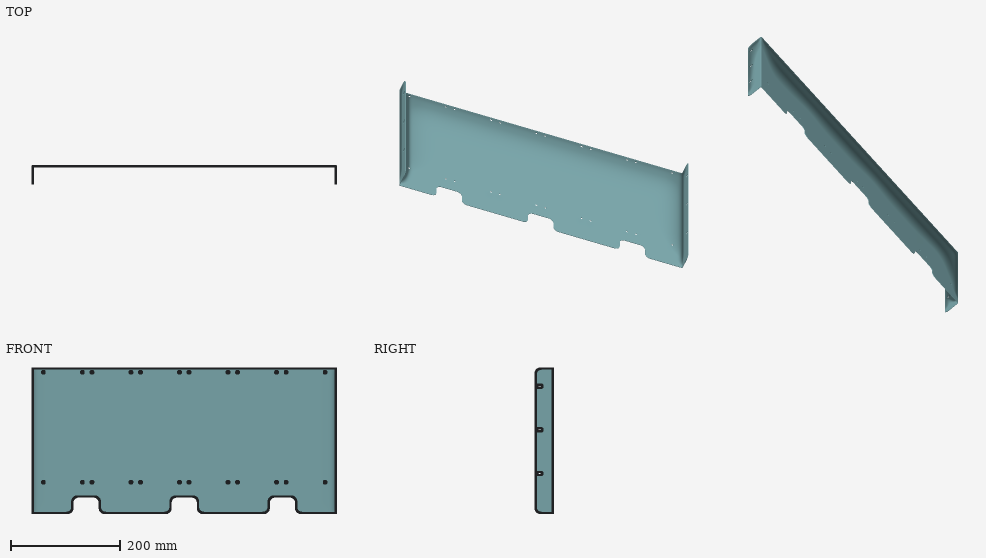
import cadquery as cq

length = 557.0
depth = 32.0
height = 265.0
thickness = 1.0
bend_inner_radius = 0.75
bend_outer_radius = bend_inner_radius + thickness
flange_corner_radius = 10.0

pair_count = 6
pair_pitch = 89.0
pair_hole_spacing = 71.5
hole_diameter = 4.0
lower_row_z = 56.5
upper_row_z = height - 7.0

notch_count = 3
notch_pitch = 180.0
notch_width = 50.0
notch_height = 30.0
notch_radius = 10.0

slot_count = 3
slot_pitch = 80.0
slot_length = 10.0
slot_width = 5.0
top_slot_z = height - 32.5
slot_from_front_edge = 7.5

front_y = -depth


def centred_positions(count, pitch):
    """Evenly spaced positions, centred on zero."""
    return [(index - (count - 1) / 2) * pitch for index in range(count)]


def bent_sheet():
    """Back panel with its outer face at Y = 0 and a flange at each end."""
    outer = (
        cq.Workplane("XY")
        .box(length, depth, height, centered=(True, False, False))
        .translate((0, front_y, 0))
        .edges("|Z and >Y")
        .fillet(bend_outer_radius)
    )
    inner = (
        cq.Workplane("XY")
        .box(length - 2 * thickness, depth, height, centered=(True, False, False))
        .translate((0, front_y - thickness, 0))
        .edges("|Z and >Y")
        .fillet(bend_inner_radius)
    )
    return outer.cut(inner).edges("|X and <Y").fillet(flange_corner_radius)


def mounting_holes():
    """Cylinders through the back panel for both hole rows."""
    half_spacing = pair_hole_spacing / 2
    points = [
        (pair_x + side * half_spacing, row_z)
        for pair_x in centred_positions(pair_count, pair_pitch)
        for side in (-1, 1)
        for row_z in (lower_row_z, upper_row_z)
    ]
    return (
        cq.Workplane("XZ")
        .pushPoints(points)
        .circle(hole_diameter / 2)
        .extrude(thickness)
    )


def notch(center_x):
    """Bottom notch with rounded inner corners and rounded mouth corners."""
    r = notch_radius
    half = notch_width / 2
    return (
        cq.Workplane("XZ", origin=(center_x, 0, 0))
        .moveTo(-half - r, 0)
        .radiusArc((-half, r), -r)
        .lineTo(-half, notch_height - r)
        .radiusArc((-half + r, notch_height), r)
        .lineTo(half - r, notch_height)
        .radiusArc((half, notch_height - r), r)
        .lineTo(half, r)
        .radiusArc((half + r, 0), -r)
        .close()
        .extrude(thickness)
    )


def flange_slots():
    """Slots lying along Y, passing through both flanges."""
    slot_y = front_y + slot_from_front_edge
    points = [(slot_y, top_slot_z - index * slot_pitch) for index in range(slot_count)]
    return (
        cq.Workplane("YZ")
        .pushPoints(points)
        .slot2D(slot_length, slot_width)
        .extrude(length / 2, both=True)
    )


result = bent_sheet().cut(mounting_holes()).cut(flange_slots())
for notch_x in centred_positions(notch_count, notch_pitch):
    result = result.cut(notch(notch_x))